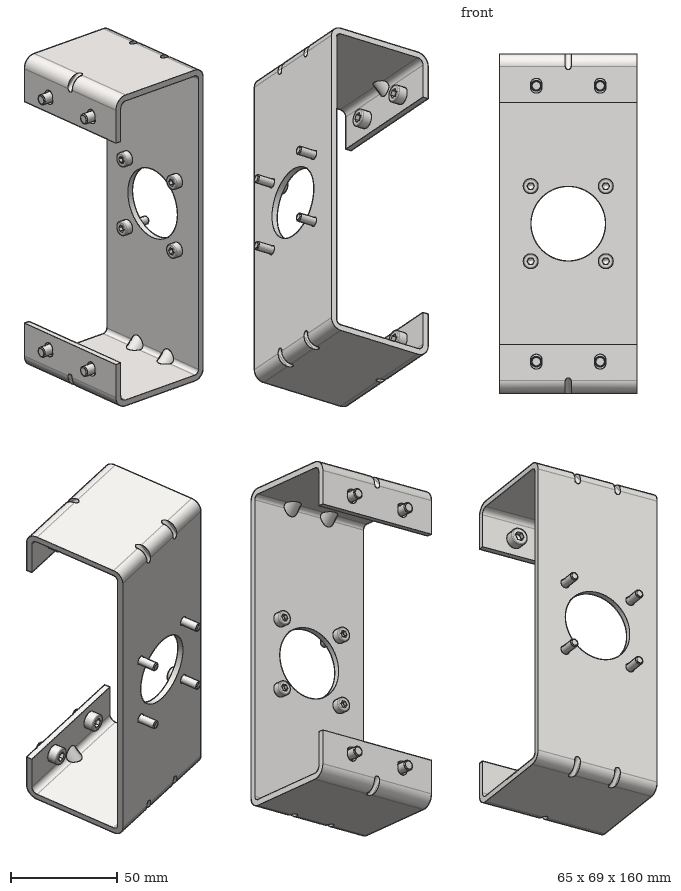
import cadquery as cq
import math

width = 65.0
depth = 55.0
height = 160.0
sheet = 3.0
front_bend_radius = 6.0
back_bend_radius = 5.3
flange_height = 23.0

bore_diameter = 35.0
plate_pitch = 35.4
plate_hole_diameter = 4.5

flange_pitch = 30.0
flange_inset = 15.0
slot_width = 5.5
slot_length = 7.0

groove_radius = 1.52
dimple_radius = groove_radius + sheet
dimple_setback = 5.3
dimple_reach = 3 * dimple_setback
back_dimple_pitch = 21.8
front_dimple_x = [0]
back_dimple_x = [-back_dimple_pitch / 2, back_dimple_pitch / 2]

plate_screw = dict(shank=4.0, length=12.0, head=7.0, head_height=4.0, hexagon=3.0)
flange_screw = dict(shank=5.0, length=8.0, head=8.5, head_height=5.0, hexagon=4.0)
screw_bevel = 0.5
socket_share = 0.5
socket_tip_angle = 120.0


def block(y_min, y_max, z_half):
    """Full-width block, symmetric about Z = 0."""
    y_size = y_max - y_min
    return cq.Workplane("XY").box(width, y_size, 2 * z_half).translate((0, y_min + y_size / 2, 0))


def round_bends(body, inset):
    """Round the front and back bends of a block that lies the given inset inside the outer faces."""
    front_rounded = body.faces("<Y").edges("|X").fillet(front_bend_radius - inset)
    return front_rounded.faces(">Y").edges("|X").fillet(back_bend_radius - inset)


def dimple_plane(x, y, side):
    """Plane at the sheet corner Y = y, top (side 1) or bottom (side -1), square to the dimple axis.

    Its normal runs at 45 degrees across the bend and its local Y points into the part.
    """
    inward = 1 if y == 0 else -1
    middle = (x, y + inward * dimple_setback / 2, side * (height - dimple_setback) / 2)
    return cq.Plane(origin=middle, xDir=(inward * side, 0, 0), normal=(0, inward, side))


def dimple_rod(plane):
    return cq.Workplane(plane).circle(dimple_radius).extrude(dimple_reach, both=True)


def dimple_groove(plane):
    """U-shaped groove: round bottom, open outwards with parallel sides."""
    return (
        cq.Workplane(plane)
        .moveTo(-groove_radius, 0)
        .threePointArc((0, groove_radius), (groove_radius, 0))
        .lineTo(groove_radius, -dimple_reach)
        .lineTo(-groove_radius, -dimple_reach)
        .close()
        .extrude(dimple_reach, both=True)
    )


def make_bracket():
    envelope = round_bends(block(0, depth, height / 2), 0)
    cavity = round_bends(block(sheet, depth - sheet, height / 2 - sheet), sheet)
    opening = block(0, depth / 2, height / 2 - flange_height)
    bracket = envelope.cut(cavity).cut(opening)

    places = [(x, 0) for x in front_dimple_x] + [(x, depth) for x in back_dimple_x]
    for x, y in places:
        for side in (-1, 1):
            plane = dimple_plane(x, y, side)
            bracket = bracket.union(envelope.intersect(dimple_rod(plane)))
            bracket = bracket.cut(dimple_groove(plane))

    plate_holes = (
        cq.Workplane("XZ", origin=(0, depth, 0))
        .circle(bore_diameter / 2)
        .rarray(plate_pitch, plate_pitch, 2, 2)
        .circle(plate_hole_diameter / 2)
        .extrude(sheet)
    )
    slots = (
        cq.Workplane("XZ", origin=(0, sheet, 0))
        .rarray(flange_pitch, height - 2 * flange_inset, 2, 2)
        .slot2D(slot_length, slot_width, 90)
        .extrude(sheet)
    )
    return bracket.cut(plate_holes).cut(slots)


def make_screw(shank, length, head, head_height, hexagon):
    """Socket cap screw: underside of the head at Z = 0, shank pointing down."""
    head_body = cq.Workplane("XY").circle(head / 2).extrude(head_height).faces(">Z").edges().fillet(screw_bevel)
    shank_body = cq.Workplane("XY").circle(shank / 2).extrude(-length).faces("<Z").edges().chamfer(screw_bevel)

    socket_floor = head_height * (1 - socket_share)
    corner_diameter = hexagon / math.cos(math.pi / 6)
    socket = (
        cq.Workplane("XY", origin=(0, 0, socket_floor))
        .polygon(6, corner_diameter)
        .extrude(head_height)
    )
    tip_depth = hexagon / 2 / math.tan(math.radians(socket_tip_angle / 2))
    tip = cq.Solid.makeCone(hexagon / 2, 0, tip_depth, cq.Vector(0, 0, socket_floor), cq.Vector(0, 0, -1))
    return head_body.union(shank_body).cut(socket).cut(cq.Workplane(tip))


def place_screws(screw, quarter_turn, seat_y, x_pitch, z_pitch):
    """Four copies in a rectangle, turned about X and seated with the head underside at seat_y."""
    turned = screw.rotate((0, 0, 0), (1, 0, 0), quarter_turn)
    screws = []
    for x in (-x_pitch / 2, x_pitch / 2):
        for z in (-z_pitch / 2, z_pitch / 2):
            screws.append(turned.translate((x, seat_y, z)).val())
    return screws


bracket = make_bracket()
head_to_front = 90
head_to_back = -90
plate_screws = place_screws(
    make_screw(**plate_screw), head_to_front, depth - sheet, plate_pitch, plate_pitch
)
flange_screws = place_screws(
    make_screw(**flange_screw), head_to_back, sheet, flange_pitch, height - 2 * flange_inset
)

result = cq.Compound.makeCompound([bracket.val(), *plate_screws, *flange_screws])